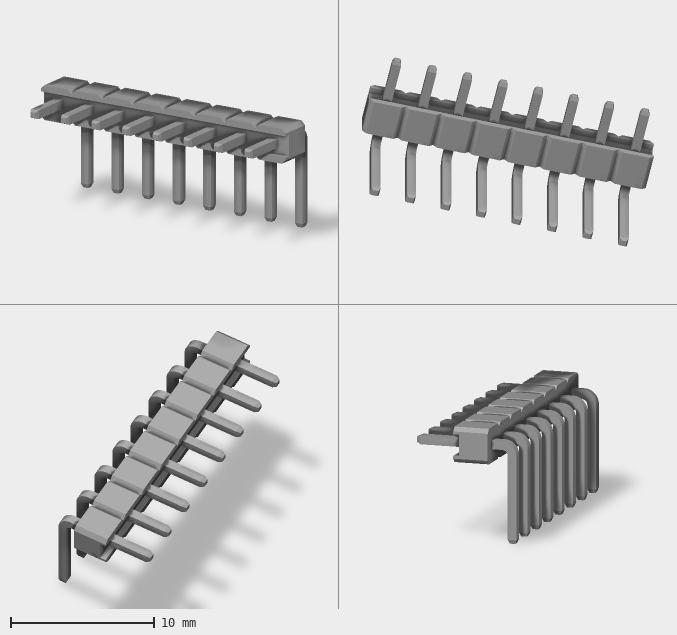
import cadquery as cq


pin_count = 8
pitch = 2.54
housing_length = pin_count * pitch
housing_depth = 2.54
housing_height = 2.54
corner_chamfer = 0.3
lip_thickness = 0.5
recess_depth = 0.44

pin_width = 0.64
mating_length = 3.0
tail_reach = 1.79
tail_drop = 7.0
bend_inner_radius = 0.4
tip_length = 0.3
tip_width = 0.4

housing_front = -housing_depth / 2
housing_back = housing_depth / 2
tip_front = housing_front - mating_length
tail_outer = housing_back + tail_reach
tail_axis = tail_outer - pin_width / 2
bend_outer_radius = bend_inner_radius + pin_width
first_pin_x = -housing_length / 2 + pitch / 2
pin_positions = [first_pin_x + i * pitch for i in range(pin_count)]


def make_housing_segment(x):
    """One pitch of the housing: a block with its four lengthwise corners chamfered."""
    return (
        cq.Workplane("XY")
        .box(pitch, housing_depth, housing_height)
        .edges("|Y")
        .chamfer(corner_chamfer)
        .translate((x, 0, 0))
    )


def make_housing():
    """Row of chamfered segments with a front channel between two lips."""
    housing = make_housing_segment(pin_positions[0])
    for x in pin_positions[1:]:
        housing = housing.union(make_housing_segment(x))
    channel = (
        cq.Workplane("XY")
        .box(housing_length, recess_depth, housing_height - 2 * lip_thickness)
        .translate((0, housing_front + recess_depth / 2, 0))
    )
    return housing.cut(channel)


def make_tip(plane):
    """Square frustum growing from the plane along its normal."""
    return (
        cq.Workplane(plane)
        .rect(pin_width, pin_width)
        .workplane(offset=tip_length)
        .rect(tip_width, tip_width)
        .loft(ruled=True)
    )


def make_pin():
    """Square pin at X = 0 with one right-angle bend and a tapered tip at each end."""
    half = pin_width / 2
    shank_front = tip_front + tip_length
    shank_bottom = -tail_drop + tip_length
    bend_y = tail_outer - bend_outer_radius
    bend_z = half - bend_outer_radius

    shank = (
        cq.Workplane("YZ")
        .moveTo(shank_front, half)
        .lineTo(bend_y, half)
        .radiusArc((tail_outer, bend_z), bend_outer_radius)
        .lineTo(tail_outer, shank_bottom)
        .lineTo(tail_outer - pin_width, shank_bottom)
        .lineTo(tail_outer - pin_width, bend_z)
        .radiusArc((bend_y, -half), -bend_inner_radius)
        .lineTo(shank_front, -half)
        .close()
        .extrude(half, both=True)
    )
    mating_plane = cq.Plane(origin=(0, shank_front, 0), xDir=(1, 0, 0), normal=(0, -1, 0))
    tail_plane = cq.Plane(origin=(0, tail_axis, shank_bottom), xDir=(1, 0, 0), normal=(0, 0, -1))
    return shank.union(make_tip(mating_plane)).union(make_tip(tail_plane))


result = make_housing()
pin = make_pin()
for pin_x in pin_positions:
    result = result.union(pin.translate((pin_x, 0, 0)))